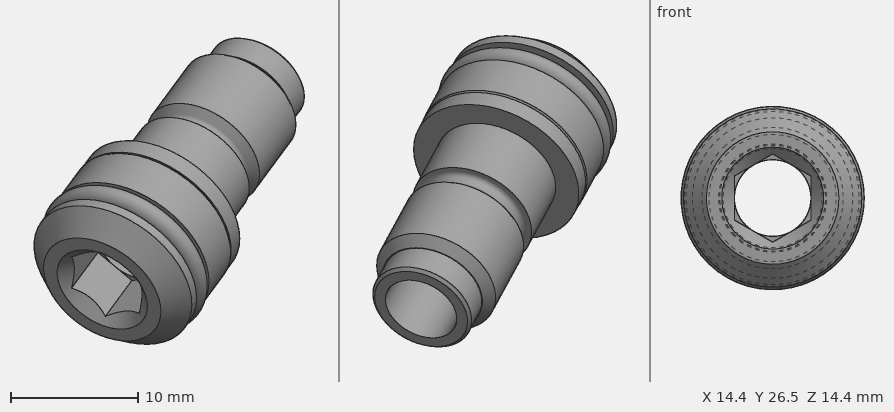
import cadquery as cq
import math

TOTAL_LENGTH = 26.5
FRONT_CHAMFER = 1.8
RING_GROOVE_START = 2.6
RING_GROOVE_END = 4.7
HEAD_END = 8.55
WASHER_END = 10.0
RELIEF_START = 15.3
THREAD_START = 17.05
THREAD_END = 24.0

HEAD_DIAMETER = 14.0
RING_GROOVE_DIAMETER = 11.1
WASHER_DIAMETER = 13.9
SHANK_DIAMETER = 10.0
RELIEF_DIAMETER = 8.5
PILOT_DIAMETER = 8.3
BORE_DIAMETER = 6.0

HEAD_REAR_CHAMFER = 0.2
THREAD_CHAMFER = 0.8
PILOT_CHAMFER = 0.25
RELIEF_FILLET = 0.4

RING_SECTION_DIAMETER = 1.8
RING_MEAN_DIAMETER = 12.6

HEX_ACROSS_FLATS = 6.0
HEX_DEPTH = 5.0
COUNTERSINK_DIAMETER = 8.0
COUNTERSINK_HALF_ANGLE = 45.0


def make_body():
    """Revolve the half outline (radius, Y) of the screw about the Y axis."""
    head = HEAD_DIAMETER / 2
    ring_groove = RING_GROOVE_DIAMETER / 2
    washer = WASHER_DIAMETER / 2
    shank = SHANK_DIAMETER / 2
    relief = RELIEF_DIAMETER / 2
    pilot = PILOT_DIAMETER / 2

    diagonal = RELIEF_FILLET * math.sqrt(0.5)
    quarter_mid = (relief + RELIEF_FILLET - diagonal, RELIEF_START + RELIEF_FILLET - diagonal)
    quarter_end = (relief, RELIEF_START + RELIEF_FILLET)

    flank_foot = THREAD_START - (shank - relief)
    half_arc_angle = math.radians(45) / 2
    eighth_start = flank_foot - RELIEF_FILLET * math.tan(half_arc_angle)
    eighth_mid = (
        relief + RELIEF_FILLET * (1 - math.cos(half_arc_angle)),
        eighth_start + RELIEF_FILLET * math.sin(half_arc_angle),
    )
    eighth_end = (relief + RELIEF_FILLET - diagonal, eighth_start + diagonal)

    outline = (
        cq.Workplane("XY")
        .moveTo(0, 0)
        .lineTo(head - FRONT_CHAMFER, 0)
        .lineTo(head, FRONT_CHAMFER)
        .lineTo(head, RING_GROOVE_START)
        .lineTo(ring_groove, RING_GROOVE_START)
        .lineTo(ring_groove, RING_GROOVE_END)
        .lineTo(head, RING_GROOVE_END)
        .lineTo(head, HEAD_END - HEAD_REAR_CHAMFER)
        .lineTo(head - HEAD_REAR_CHAMFER, HEAD_END)
        .lineTo(washer, HEAD_END)
        .lineTo(washer, WASHER_END)
        .lineTo(shank, WASHER_END)
        .lineTo(shank, RELIEF_START)
        .lineTo(relief + RELIEF_FILLET, RELIEF_START)
        .threePointArc(quarter_mid, quarter_end)
        .lineTo(relief, eighth_start)
        .threePointArc(eighth_mid, eighth_end)
        .lineTo(shank, THREAD_START)
        .lineTo(shank, THREAD_END - THREAD_CHAMFER)
        .lineTo(shank - THREAD_CHAMFER, THREAD_END)
        .lineTo(pilot, THREAD_END)
        .lineTo(pilot, TOTAL_LENGTH - PILOT_CHAMFER)
        .lineTo(pilot - PILOT_CHAMFER, TOTAL_LENGTH)
        .lineTo(0, TOTAL_LENGTH)
        .close()
    )
    return outline.revolve(360, (0, 0, 0), (0, 1, 0))


def make_o_ring():
    """O-ring centred on the Y axis."""
    section_radius = RING_SECTION_DIAMETER / 2
    return (
        cq.Workplane("XY")
        .center(RING_MEAN_DIAMETER / 2, RING_GROOVE_END - section_radius)
        .circle(section_radius)
        .revolve(360, (-RING_MEAN_DIAMETER / 2, 0, 0), (-RING_MEAN_DIAMETER / 2, 1, 0))
    )


def make_bore():
    """Plain hole through the full length."""
    return cq.Workplane("XZ").circle(BORE_DIAMETER / 2).extrude(-TOTAL_LENGTH)


def make_hex_socket():
    """Hexagon recess with two corners on the Z axis."""
    across_corners = HEX_ACROSS_FLATS / math.cos(math.radians(30))
    return (
        cq.Workplane("XZ")
        .transformed(rotate=(0, 0, 90))
        .polygon(6, across_corners)
        .extrude(-HEX_DEPTH)
    )


def make_countersink():
    """Conical lead-in to the hexagon, cut to a full point."""
    radius = COUNTERSINK_DIAMETER / 2
    depth = radius / math.tan(math.radians(COUNTERSINK_HALF_ANGLE))
    return (
        cq.Workplane("XY")
        .polyline([(0, 0), (radius, 0), (0, depth)])
        .close()
        .revolve(360, (0, 0, 0), (0, 1, 0))
    )


result = (
    make_body()
    .union(make_o_ring())
    .cut(make_bore())
    .cut(make_hex_socket())
    .cut(make_countersink())
)